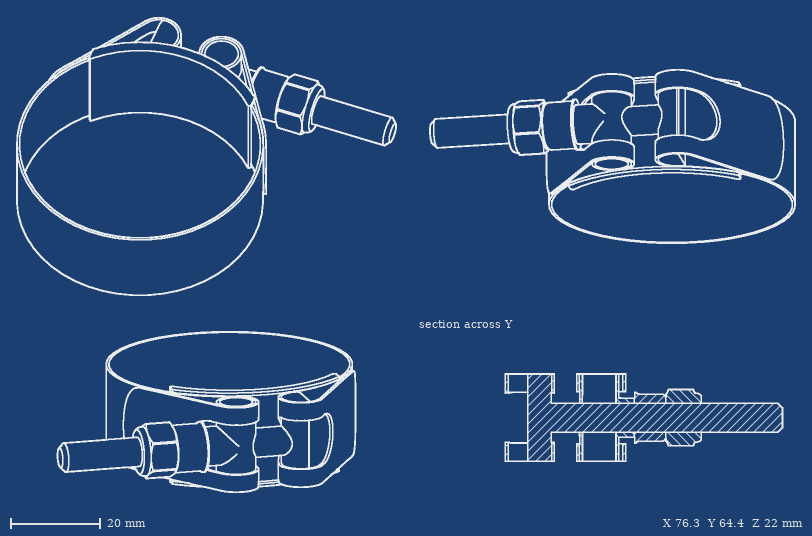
import cadquery as cq
import math

band_thickness = 0.6
band_width = 19.6
ring_inner_radius = 27.0
ring_outer_radius = ring_inner_radius + band_thickness

loop_offset_x = 7.55
trunnion_radius = 4.4
loop_outer_radius = trunnion_radius + band_thickness
loop_distance = ring_outer_radius + trunnion_radius
bolt_axis_y = math.sqrt(loop_distance**2 - loop_offset_x**2)

tail_gap = 0.1
tail_inner_radius = ring_outer_radius + tail_gap
tail_outer_radius = tail_inner_radius + band_thickness
tail_start_angle = math.radians(53)
tail_tip_y = 8.1
tail_round_length = 5.5

head_slot_half_width = 5.65
head_slot_end_y = 32.4
sleeve_slot_half_width = 5.8

bridge_width = 22.0
bridge_wall = 0.7
bridge_outer_radius = 28.75
bridge_half_length = 19.45

bolt_radius = 3.3
overall_length = 76.25
bolt_end_x = overall_length - ring_outer_radius
bolt_chamfer = 1.1
head_flat_x = -8.5
head_bevel_depth = 0.3
head_bevel_height = 0.7

tube_inner_radius = 3.7
sleeve_radius = trunnion_radius

collar_start_x = 15.5
collar_end_x = 22.5
collar_radius = 5.35
collar_rim_radius = 5.7
collar_rim_thickness = 0.3
collar_flare_length = 0.9
collar_fillet = 1.0

hex_end_x = 29.2
nut_end_x = 30.4
nut_across_flats = 11.1
nut_sides = 6
nut_corner_radius = 6.3
hex_face_radius = 5.3
hex_chamfer_length = 0.6
nut_end_radius = 4.95

cut_size = 152.5


def polar(radius, angle, center=(0.0, 0.0)):
    """Point at an angle measured from +Y toward +X."""
    return (center[0] + radius * math.sin(angle), center[1] + radius * math.cos(angle))


def mirrored(point):
    """The same point on the other side of the YZ plane."""
    return (-point[0], point[1])


def disc(radius, height, x=0.0, y=0.0):
    """Cylinder along Z, centred on the mid-plane of the clamp."""
    return cq.Workplane("XY").center(x, y).circle(radius).extrude(height / 2, both=True)


def rod(radius, start_x, end_x):
    """Cylinder on the bolt axis."""
    plane = cq.Workplane("YZ", origin=(start_x, bolt_axis_y, 0))
    return plane.circle(radius).extrude(end_x - start_x)


def turned(profile):
    """Revolve an (x, radius) profile about the bolt axis."""
    return profile.close().revolve(360, (0, 0, 0), (1, 0, 0))


def bolt_plane():
    return cq.Workplane("XY", origin=(0, bolt_axis_y, 0))


loop_center = (loop_offset_x, bolt_axis_y)
loop_angle = math.atan2(loop_offset_x, bolt_axis_y)
loop_start_angle = loop_angle - math.pi
straight_angle = loop_angle + math.acos((tail_outer_radius - loop_outer_radius) / loop_distance)
loop_end_inside = polar(trunnion_radius, straight_angle, loop_center)
loop_end_outside = polar(loop_outer_radius, straight_angle, loop_center)


def bent_strip():
    """Ring with a loop at each end, before the tails."""
    loop_mid_angle = (loop_start_angle + straight_angle) / 2
    loop_mid_inside = polar(trunnion_radius, loop_mid_angle, loop_center)
    loop_mid_outside = polar(loop_outer_radius, loop_mid_angle, loop_center)
    ring_end_outside = polar(ring_outer_radius, loop_angle)
    ring_end_inside = polar(ring_inner_radius, loop_angle)

    outline = (
        cq.Workplane("XY")
        .moveTo(*mirrored(ring_end_outside))
        .threePointArc((0, -ring_outer_radius), ring_end_outside)
        .threePointArc(loop_mid_inside, loop_end_inside)
        .lineTo(*loop_end_outside)
        .threePointArc(loop_mid_outside, ring_end_inside)
        .threePointArc((0, -ring_inner_radius), mirrored(ring_end_inside))
        .threePointArc(mirrored(loop_mid_outside), mirrored(loop_end_outside))
        .lineTo(*mirrored(loop_end_inside))
        .threePointArc(mirrored(loop_mid_inside), mirrored(ring_end_outside))
        .close()
    )
    return outline.extrude(band_width / 2, both=True)


def right_tail():
    """Straight run from the right loop and the tail over the ring."""
    tail_angle = math.acos(tail_tip_y / tail_outer_radius)
    tail_mid_angle = (tail_start_angle + tail_angle) / 2
    outline = (
        cq.Workplane("XY")
        .moveTo(*loop_end_inside)
        .lineTo(*polar(tail_inner_radius, tail_start_angle))
        .threePointArc(polar(tail_inner_radius, tail_mid_angle), polar(tail_inner_radius, tail_angle))
        .lineTo(*polar(tail_outer_radius, tail_angle))
        .threePointArc(polar(tail_outer_radius, tail_mid_angle), polar(tail_outer_radius, tail_start_angle))
        .lineTo(*loop_end_outside)
        .close()
    )
    return outline.extrude(band_width / 2, both=True).cut(tail_trim())


def tail_trim():
    """Material outside the half-elliptical tip of a tail."""
    round_start_y = tail_tip_y + tail_round_length
    corner_block = cq.Workplane("XY").box(cut_size, 2 * tail_round_length, band_width)
    corner_block = corner_block.translate((0, tail_tip_y, 0))
    tip = (
        cq.Workplane("YZ", origin=(-cut_size / 2, round_start_y, 0))
        .ellipse(tail_round_length, band_width / 2)
        .extrude(cut_size)
    )
    return corner_block.cut(tip)


def loop_slot(half_width, end_y, direction):
    """Slot along X with a round lower end, open at the top of the loop."""
    plane = cq.Workplane("YZ", origin=(0, end_y, 0))
    round_end = plane.circle(half_width).extrude(direction * cut_size)
    opening = plane.rect(cut_size, 2 * half_width).extrude(direction * cut_size)
    above_end = cq.Workplane("XY").box(2 * cut_size, cut_size, band_width)
    above_end = above_end.translate((0, end_y + cut_size / 2, 0))
    return round_end.union(opening.intersect(above_end))


def make_band():
    tail = right_tail()
    band = bent_strip().union(tail).union(tail.mirror("YZ"))
    band = band.cut(loop_slot(head_slot_half_width, head_slot_end_y, -1))
    return band.cut(loop_slot(sleeve_slot_half_width, bolt_axis_y, 1))


def make_bridge():
    base_end_angle = math.asin(bridge_half_length / ring_inner_radius)
    base_inner_radius = ring_inner_radius - bridge_wall
    blank = disc(bridge_outer_radius, bridge_width).cut(disc(base_inner_radius, bridge_width))
    channel_space = disc(bridge_outer_radius, bridge_width - 2 * bridge_wall)
    channel_space = channel_space.cut(disc(ring_inner_radius, bridge_width))
    channel = blank.cut(channel_space)
    end_corner = polar(ring_inner_radius, base_end_angle)
    keep = (
        cq.Workplane("XY")
        .polyline([
            (0, 0), end_corner, (bridge_half_length, bridge_outer_radius),
            (-bridge_half_length, bridge_outer_radius), mirrored(end_corner),
        ])
        .close()
        .extrude(bridge_width / 2, both=True)
    )
    return channel.intersect(keep)


def make_t_bolt():
    flat_offset = head_flat_x + loop_offset_x
    flat_half_height = math.sqrt(trunnion_radius**2 - flat_offset**2)
    bevel_x = head_flat_x + head_bevel_depth
    bevel_y = flat_half_height - head_bevel_height
    envelope = (
        bolt_plane()
        .polyline([
            (0, trunnion_radius), (bevel_x, trunnion_radius), (bevel_x, flat_half_height),
            (head_flat_x, bevel_y), (head_flat_x, -bevel_y),
            (bevel_x, -flat_half_height), (bevel_x, -trunnion_radius), (0, -trunnion_radius),
        ])
        .close()
    )
    head = disc(trunnion_radius, band_width, -loop_offset_x, bolt_axis_y)
    head = head.intersect(envelope.extrude(band_width / 2, both=True))
    shank = rod(bolt_radius, -loop_offset_x, bolt_end_x).faces(">X").chamfer(bolt_chamfer)
    return head.union(shank)


def make_tube_trunnion():
    tube = disc(trunnion_radius, band_width, loop_offset_x, bolt_axis_y)
    tube = tube.union(rod(sleeve_radius, loop_offset_x, collar_start_x))
    tube = tube.cut(disc(tube_inner_radius, band_width, loop_offset_x, bolt_axis_y))
    return tube.cut(rod(bolt_radius, 0, collar_start_x))


def make_collar():
    rim_end_x = collar_start_x + collar_rim_thickness
    flare_end_x = rim_end_x + collar_flare_length
    profile = (
        bolt_plane()
        .moveTo(collar_end_x, 0)
        .lineTo(collar_end_x, collar_radius)
        .lineTo(flare_end_x, collar_radius)
        .tangentArcPoint((rim_end_x, collar_rim_radius), relative=False)
        .lineTo(collar_start_x, collar_rim_radius)
        .lineTo(collar_start_x, 0)
    )
    collar = turned(profile).faces(">X").edges().fillet(collar_fillet)
    return collar.cut(rod(bolt_radius, collar_start_x, collar_end_x))


def make_nut():
    flat_radius = nut_across_flats / 2
    across_corners = nut_across_flats / math.cos(math.pi / nut_sides)
    hexagon = (
        cq.Workplane("YZ", origin=(collar_end_x, bolt_axis_y, 0))
        .transformed(rotate=(0, 0, 90))
        .polygon(nut_sides, across_corners)
        .extrude(hex_end_x - collar_end_x)
    )
    envelope = turned(
        bolt_plane()
        .moveTo(collar_end_x, 0)
        .lineTo(collar_end_x, hex_face_radius)
        .lineTo(collar_end_x + hex_chamfer_length, nut_corner_radius)
        .lineTo(hex_end_x - hex_chamfer_length, nut_corner_radius)
        .lineTo(hex_end_x, hex_face_radius)
        .lineTo(hex_end_x, 0)
    )
    end_ring = turned(
        bolt_plane()
        .moveTo(hex_end_x - hex_chamfer_length, 0)
        .lineTo(hex_end_x - hex_chamfer_length, flat_radius)
        .lineTo(hex_end_x, flat_radius)
        .tangentArcPoint((nut_end_x, nut_end_radius), relative=False)
        .lineTo(nut_end_x, 0)
    )
    nut = hexagon.intersect(envelope).union(end_ring)
    return nut.cut(rod(bolt_radius, collar_end_x, nut_end_x))


band = make_band()
bridge = make_bridge()
t_bolt = make_t_bolt()
tube_trunnion = make_tube_trunnion()
collar = make_collar()
nut = make_nut()

result = cq.Compound.makeCompound([
    band.solids().val(),
    bridge.solids().val(),
    t_bolt.solids().val(),
    tube_trunnion.solids().val(),
    collar.solids().val(),
    nut.solids().val(),
])